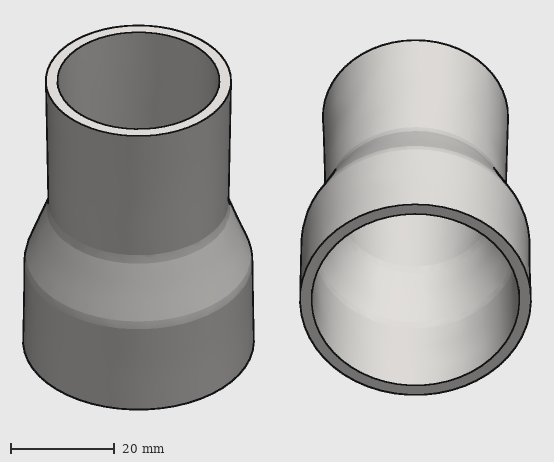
import cadquery as cq

height = 62.4
base_radius = 22.255
top_radius = 17.85
wall = 2.25

shoulder_low_z = 20.0
shoulder_low_radius = 22.0
shoulder_high_z = 32.5
shoulder_high_radius = 17.35
bend_radius = 5.0


def revolved_body(inset):
    """Solid of revolution through the outer profile, moved inward by inset."""
    profile = [
        (0, 0),
        (base_radius - inset, 0),
        (shoulder_low_radius - inset, shoulder_low_z),
        (shoulder_high_radius - inset, shoulder_high_z),
        (top_radius - inset, height),
        (0, height),
    ]
    body = cq.Workplane("XZ").polyline(profile).close().revolve(360, (0, 0, 0), (0, 1, 0))
    return round_shoulder(body)


def round_shoulder(body):
    """Blend the shoulder smoothly into the sockets above and below it."""
    margin = 0.6
    span = shoulder_high_z - shoulder_low_z + 2 * margin
    middle = (shoulder_low_z + shoulder_high_z) / 2
    reach = 4 * base_radius
    zone = cq.selectors.BoxSelector(
        (-reach, -reach, middle - span / 2),
        (reach, reach, middle + span / 2),
    )
    return body.edges("%CIRCLE").edges(zone).fillet(bend_radius)


result = revolved_body(0).cut(revolved_body(wall))